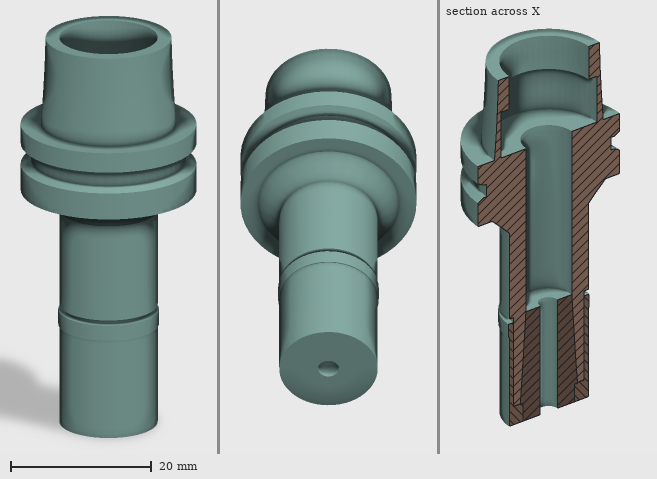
import cadquery as cq
import math


taper_length = 13.0
taper_top_radius = 8.95
taper_mid_radius = 9.19
taper_root_radius = 9.63

mouth_radius = 7.0
mouth_depth = 5.5
undercut_radius = 8.4
socket_floor_z = 0.0

flange_radius = 12.5
flange_thickness = 10.0
groove_center_z = -4.5
groove_floor_radius = 11.0
groove_floor_width = 2.0
groove_chamfer_width = 1.0
groove_chamfer_height = groove_chamfer_width * math.tan(math.radians(30))
groove_half_width = groove_floor_width / 2
groove_half_mouth = groove_half_width + groove_chamfer_height

shaft_radius = 7.0
neck_cone_top_radius = 10.0
neck_cone_height = neck_cone_top_radius - shaft_radius
shaft_end_z = -27.25
nose_radius = 6.25
drawbar_bore_radius = 4.0

tip_z = -45.0
nut_length = 17.0
nut_top_z = tip_z + nut_length
nut_radius = 7.0
nut_band_radius = 7.15
nut_band_height = 2.25
nut_band_end_z = nut_top_z - nut_band_height
nut_front_wall = 3.0
nose_end_z = tip_z + nut_front_wall

collet_length = 18.0
collet_top_z = tip_z + collet_length
collet_top_radius = drawbar_bore_radius
collet_shoulder_radius = 5.0
collet_front_radius = 4.5
collet_bore_radius = 1.5


def revolve_about_z(half_profile):
    """Revolve a closed (radius, z) half profile a full turn about the Z axis."""
    return half_profile.close().revolve(360, (0, 0, 0), (0, 1, 0))


def make_holder():
    profile = (
        cq.Workplane("XZ")
        .moveTo(mouth_radius, taper_length)
        .lineTo(taper_top_radius, taper_length)
        .threePointArc((taper_mid_radius, taper_length / 2), (taper_root_radius, 0))
        .lineTo(flange_radius, 0)
        .lineTo(flange_radius, groove_center_z + groove_half_mouth)
        .lineTo(flange_radius - groove_chamfer_width, groove_center_z + groove_half_width)
        .lineTo(groove_floor_radius, groove_center_z + groove_half_width)
        .lineTo(groove_floor_radius, groove_center_z - groove_half_width)
        .lineTo(flange_radius - groove_chamfer_width, groove_center_z - groove_half_width)
        .lineTo(flange_radius, groove_center_z - groove_half_mouth)
        .lineTo(flange_radius, -flange_thickness)
        .lineTo(neck_cone_top_radius, -flange_thickness)
        .lineTo(shaft_radius, -flange_thickness - neck_cone_height)
        .lineTo(shaft_radius, shaft_end_z)
        .lineTo(nose_radius, shaft_end_z)
        .lineTo(nose_radius, nose_end_z)
        .lineTo(collet_shoulder_radius, nose_end_z)
        .lineTo(collet_top_radius, collet_top_z)
        .lineTo(drawbar_bore_radius, socket_floor_z)
        .lineTo(undercut_radius, socket_floor_z)
        .lineTo(undercut_radius, taper_length - mouth_depth)
        .lineTo(mouth_radius, taper_length - mouth_depth)
    )
    return revolve_about_z(profile)


def make_nut():
    profile = (
        cq.Workplane("XZ")
        .moveTo(nose_radius, nut_top_z)
        .lineTo(nut_band_radius, nut_top_z)
        .lineTo(nut_band_radius, nut_band_end_z)
        .lineTo(nut_radius, nut_band_end_z)
        .lineTo(nut_radius, tip_z)
        .lineTo(collet_front_radius, tip_z)
        .lineTo(collet_front_radius, nose_end_z)
        .lineTo(nose_radius, nose_end_z)
    )
    return revolve_about_z(profile)


def make_collet():
    profile = (
        cq.Workplane("XZ")
        .moveTo(collet_bore_radius, collet_top_z)
        .lineTo(collet_top_radius, collet_top_z)
        .lineTo(collet_shoulder_radius, nose_end_z)
        .lineTo(collet_front_radius, nose_end_z)
        .lineTo(collet_front_radius, tip_z)
        .lineTo(collet_bore_radius, tip_z)
    )
    return revolve_about_z(profile)


holder = make_holder()
nut = make_nut()
collet = make_collet()

result = cq.Compound.makeCompound([holder.val(), nut.val(), collet.val()])